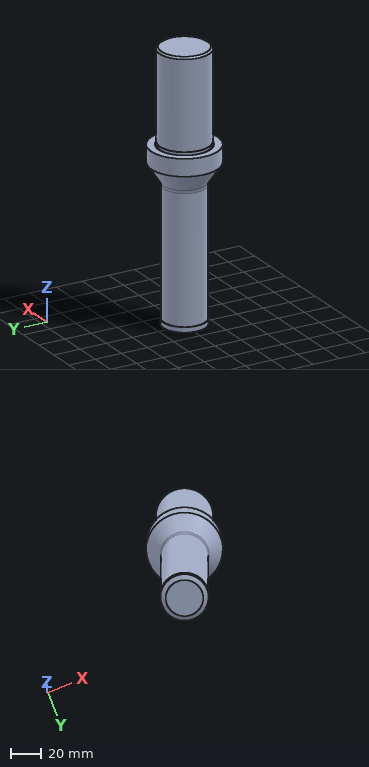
import cadquery as cq

total_height = 199.9
tip_height = 5.4
fillet_bottom = 101.1
cone_bottom = 103.5
collar_bottom = 117.1
collar_top = 130.0
shank_bottom = 131.7

collar_radius = 25.4
shank_radius = 19.0
neck_radius = 18.5
relief_radius = 19.5
stem_radius = 15.5
cone_end_radius = 16.2
tip_radius = 16.0
tip_face_radius = 12.4

shank_chamfer = 1.4
shank_lower_chamfer = 0.4
relief_depth = 0.4
tip_bevel_height = 1.4
fillet_mid_radius = 15.8
fillet_mid_height = (fillet_bottom + cone_bottom) / 2


def make_holder():
    """Revolve the stem, cone, collar and shank, with an undercut at the shank's foot."""
    profile = (
        cq.Workplane("XZ")
        .moveTo(0, tip_height)
        .lineTo(stem_radius, tip_height)
        .lineTo(stem_radius, fillet_bottom)
        .threePointArc((fillet_mid_radius, fillet_mid_height), (cone_end_radius, cone_bottom))
        .lineTo(collar_radius, collar_bottom)
        .lineTo(collar_radius, collar_top)
        .lineTo(relief_radius, collar_top)
        .lineTo(neck_radius, collar_top - relief_depth)
        .lineTo(neck_radius, shank_bottom)
        .lineTo(shank_radius, shank_bottom + shank_lower_chamfer)
        .lineTo(shank_radius, total_height - shank_chamfer)
        .lineTo(shank_radius - shank_chamfer, total_height)
        .lineTo(0, total_height)
        .close()
    )
    return profile.revolve(360, (0, 0), (0, 1))


def make_cutting_tip():
    """Revolve the slightly wider disc that closes the lower end of the stem."""
    profile = (
        cq.Workplane("XZ")
        .lineTo(tip_face_radius, 0)
        .lineTo(tip_radius, tip_bevel_height)
        .lineTo(tip_radius, tip_height)
        .lineTo(0, tip_height)
        .close()
    )
    return profile.revolve(360, (0, 0), (0, 1))


holder = make_holder()
cutting_tip = make_cutting_tip()
result = cq.Compound.makeCompound([holder.val(), cutting_tip.val()])